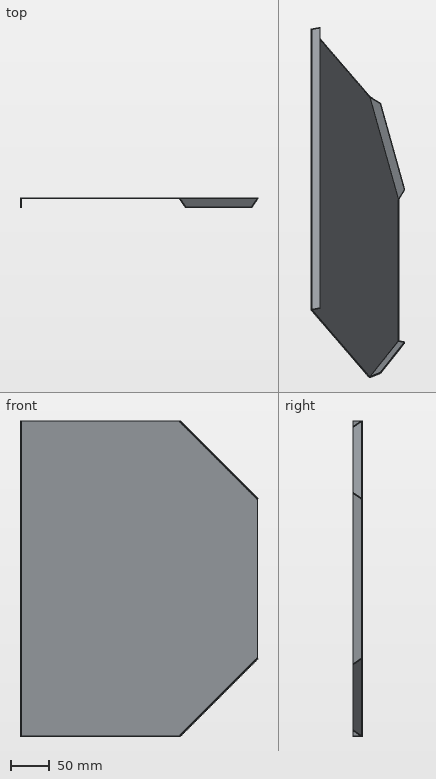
import cadquery as cq
import math

panel_width = 305.0
panel_height = 406.0
corner_cut = 100.0
sheet_thickness = 1.25

flange_depth = 12.5
corner_flange_offset = 0.204

half_height = panel_height / 2
half_diagonal = corner_cut * math.sqrt(2) / 2
end_taper = 11.0


def make_panel():
    """Flat sheet with its back face on Y = 0 and its front face towards -Y."""
    outline = [
        (0, -half_height),
        (panel_width - corner_cut, -half_height),
        (panel_width, -half_height + corner_cut),
        (panel_width, half_height - corner_cut),
        (panel_width - corner_cut, half_height),
        (0, half_height),
    ]
    return cq.Workplane("XZ").polyline(outline).close().extrude(sheet_thickness)


def make_side_flange():
    """Full-height flange along the left edge."""
    flange = cq.Workplane("XY").box(
        sheet_thickness, flange_depth, panel_height, centered=(False, False, True)
    )
    return flange.translate((0, -flange_depth, 0))


def make_upper_corner_flange():
    """Flange with tapered ends along the upper corner cut, slightly proud of the panel edge."""
    cut_plane = cq.Plane(
        origin=(panel_width - corner_cut / 2, 0, half_height - corner_cut / 2),
        xDir=(1, 0, -1),
        normal=(1, 0, 1),
    )
    profile = [
        (-half_diagonal, 0),
        (half_diagonal, 0),
        (half_diagonal, -sheet_thickness),
        (half_diagonal - end_taper, -flange_depth),
        (-half_diagonal + end_taper, -flange_depth),
        (-half_diagonal, -sheet_thickness),
    ]
    outer_face = cq.Workplane(cut_plane).workplane(offset=corner_flange_offset)
    return outer_face.polyline(profile).close().extrude(-sheet_thickness)


upper_flange = make_upper_corner_flange()
lower_flange = upper_flange.mirror("XY")

result = make_panel().union(make_side_flange()).union(upper_flange).union(lower_flange)